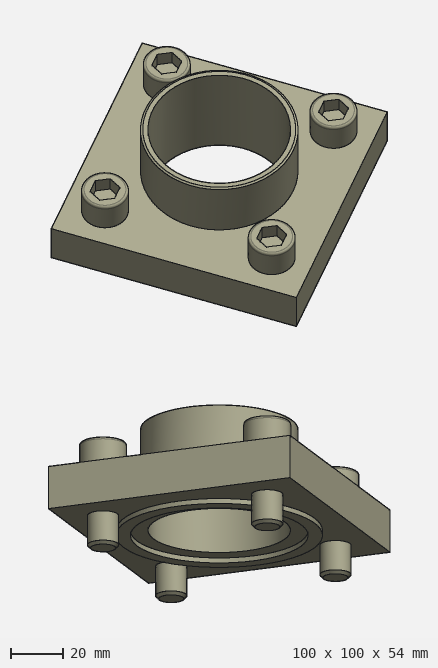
import cadquery as cq
import math

plate_side = 100.0
plate_thickness = 17.0

tube_diameter = 60.3
bore_diameter = 54.5
tube_top = 41.0
tube_bevel_height = 0.4
tube_bevel_width = 0.9

ring_outer_diameter = 79.0
ring_inner_diameter = 68.0
ring_depth = 2.0

screw_spacing = 68.0
shank_diameter = 12.0
shank_projection = 13.0
shank_chamfer = 1.2
head_diameter = 18.0
head_height = 12.0
head_fillet = 1.0
socket_across_flats = 10.0
socket_depth = 6.0


def make_flange():
    """Plate and tube sharing one through bore."""
    plate = cq.Workplane("XY").box(plate_side, plate_side, plate_thickness, centered=(True, True, False))
    tube = cq.Workplane("XY").circle(tube_diameter / 2).extrude(tube_top)
    tube = tube.faces(">Z").chamfer(tube_bevel_height, tube_bevel_width)
    bore = cq.Workplane("XY").circle(bore_diameter / 2).extrude(tube_top)
    return plate.union(tube).cut(bore)


def make_sealing_ring():
    """Flat ring standing proud of the plate's underside."""
    ring = cq.Workplane("XY").circle(ring_outer_diameter / 2).circle(ring_inner_diameter / 2)
    return ring.extrude(-ring_depth)


def make_screw():
    """Screw on the Z axis, its head resting on top of the plate."""
    shank = (
        cq.Workplane("XY", origin=(0, 0, -shank_projection))
        .circle(shank_diameter / 2)
        .extrude(shank_projection + plate_thickness)
        .faces("<Z")
        .chamfer(shank_chamfer)
    )
    head_top = plate_thickness + head_height
    head = (
        cq.Workplane("XY", origin=(0, 0, plate_thickness))
        .circle(head_diameter / 2)
        .extrude(head_height)
        .faces(">Z")
        .edges()
        .fillet(head_fillet)
    )
    socket_across_corners = socket_across_flats / math.cos(math.radians(30))
    socket = (
        cq.Workplane("XY", origin=(0, 0, head_top))
        .transformed(rotate=(0, 0, 90))
        .polygon(6, socket_across_corners)
        .extrude(-socket_depth)
    )
    return shank.union(head).cut(socket)


result = make_flange().union(make_sealing_ring())
screw = make_screw()
for x_side in (-1, 1):
    for y_side in (-1, 1):
        screw_position = (x_side * screw_spacing / 2, y_side * screw_spacing / 2, 0)
        result = result.union(screw.translate(screw_position))